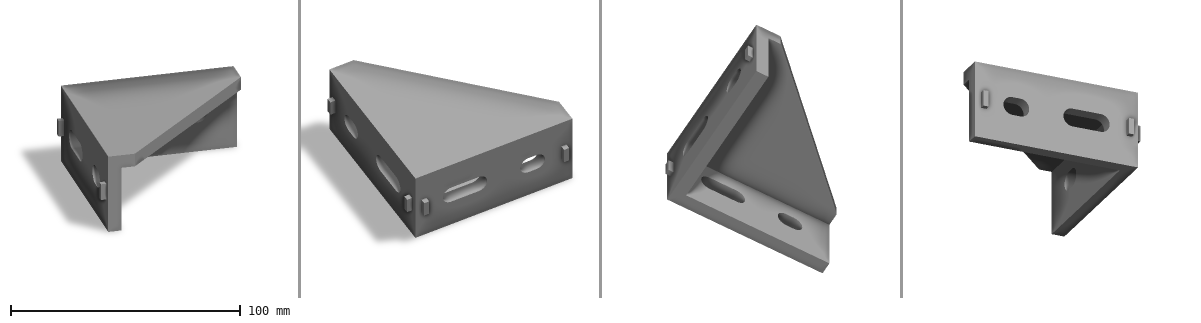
import cadquery as cq

overall = 80.5
height = 36.0
peg_depth = 2.5
peg_width = 2.5
peg_height = 7.5
leg_length = overall - peg_depth
leg_end_width = 12.1
wall = 6.0
plate = 6.0
slot_width = 8.5
long_slot_length = 22.05
long_slot_center = 24.6
short_slot_length = 12.3
short_slot_center = 58.2
peg_edge_gap = 3.0
mid_height = height / 2


def body():
    """Triangular bracket with clipped leg ends."""
    outline = [
        (0, 0),
        (leg_length, 0),
        (leg_length, leg_end_width),
        (leg_end_width, leg_length),
        (0, leg_length),
    ]
    return cq.Workplane("XY").polyline(outline).close().extrude(height)


def cavity():
    """Space behind the two walls, open below and along the sloping side."""
    side = leg_length - wall
    return cq.Workplane("XY").box(side, side, height - plate, centered=False).translate((wall, wall, 0))


def slot(center, length):
    """Horizontal slot cutter through the wall lying along X."""
    return (
        cq.Workplane("XZ")
        .center(center, mid_height)
        .slot2D(length, slot_width)
        .extrude(-wall)
    )


def peg(center):
    """Locating peg on the outer face of the wall lying along X."""
    return (
        cq.Workplane("XZ")
        .center(center, mid_height)
        .rect(peg_width, peg_height)
        .extrude(peg_depth)
    )


def on_other_leg(shape):
    """Copy of a feature, reflected across the diagonal plane X = Y."""
    return shape.mirror("XZ").rotate((0, 0, 0), (0, 0, 1), 90)


result = body().cut(cavity())

for center, length in (
    (long_slot_center, long_slot_length),
    (short_slot_center, short_slot_length),
):
    cutter = slot(center, length)
    result = result.cut(cutter).cut(on_other_leg(cutter))

peg_inset = peg_edge_gap + peg_width / 2
for center in (peg_inset, leg_length - peg_inset):
    locating_peg = peg(center)
    result = result.union(locating_peg).union(on_other_leg(locating_peg))